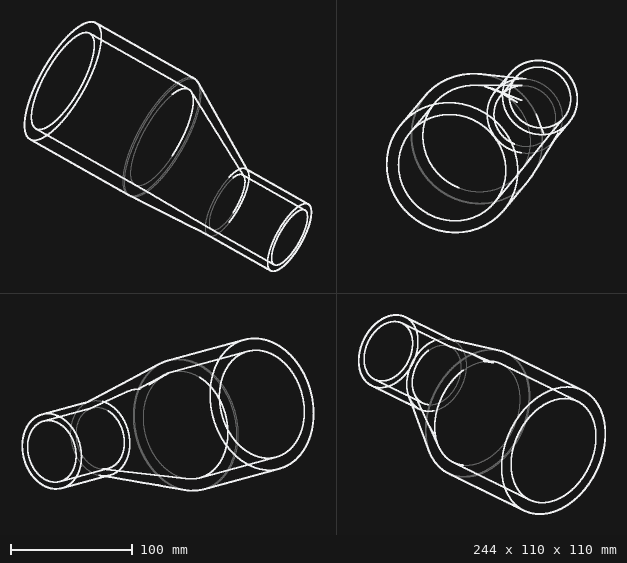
import cadquery as cq

total_length = 244.0
large_length = 99.3
small_length = 62.7
large_outer = 110.0
large_bore = 90.0
small_outer = 63.0
small_bore = 51.5
edge_break = 0.7

taper_length = total_length - large_length - small_length
small_start = large_length + taper_length
axis_offset = (large_outer - small_outer) / 2


def cylinder(start, length, diameter, y):
    """Round bar along X with its axis at the given Y."""
    return cq.Workplane("YZ", origin=(start, y, 0)).circle(diameter / 2).extrude(length)


def oblique_cone(start, start_diameter, start_y, end, end_diameter, end_y):
    """Straight-sided solid between two circles that face along X."""
    return (
        cq.Workplane("YZ", origin=(start, start_y, 0))
        .circle(start_diameter / 2)
        .workplane(offset=end - start)
        .center(end_y - start_y, 0)
        .circle(end_diameter / 2)
        .loft(ruled=True)
    )


def build_outside():
    """Outer body, with a narrow band easing the corner where the taper starts."""
    band_start = large_length - edge_break
    band_end = large_length + edge_break
    taper_fraction = edge_break / taper_length
    band_diameter = large_outer - taper_fraction * (large_outer - small_outer)
    band_y = -taper_fraction * axis_offset

    large_end = cylinder(0, band_start, large_outer, 0)
    band = oblique_cone(band_start, large_outer, 0, band_end, band_diameter, band_y)
    taper = oblique_cone(band_end, band_diameter, band_y, small_start, small_outer, -axis_offset)
    small_end = cylinder(small_start, small_length, small_outer, -axis_offset)
    return large_end.union(band).union(taper).union(small_end)


def build_bore():
    """Through passage: large bore, tapered middle and offset small bore."""
    large_end = cylinder(0, large_length, large_bore, 0)
    taper = oblique_cone(large_length, large_bore, 0, small_start, small_bore, -axis_offset)
    small_end = cylinder(small_start, small_length, small_bore, -axis_offset)
    return large_end.union(taper).union(small_end)


result = build_outside().cut(build_bore())